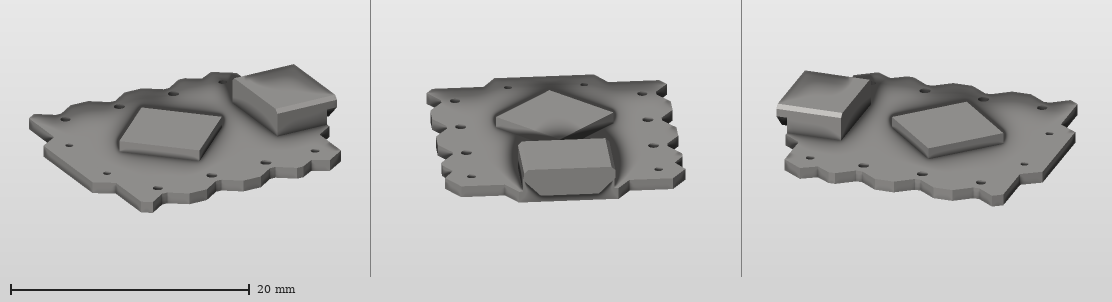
import cadquery as cq

board_half_width = 20.2 / 2
board_length = 22.75
board_thickness = 1.0
front_shoulder_y = 1.63
rear_shoulder_y = 21.23
shoulder_half_width = 5.24
tab_half_width = 4.2
front_corner_x = 9.55
rear_corner_x = 8.88
rear_side_y = 19.45

notch_pitch = 5.19
notch_ys = [4.2 + row * notch_pitch for row in range(3)]
notch_depth = 1.07
notch_mouth = 3.5
notch_floor = 0.52

vee_front_y = 16.91
vee_tip_y = 18.12
vee_depth = 0.78

side_hole_x = 7.87
front_hole_x = 3.2
front_hole_y = 1.95
rear_hole_y = 19.3
front_hole_diameter = 0.66
rear_hole_diameter = 0.73
notch_hole_diameters = [0.85, 0.92, 0.92]

chip_half_diagonal = 4.93
chip_y = 9.85
chip_height = 1.0

connector_half_width = 3.84
connector_front_y = 17.95
connector_rear_y = 23.7
connector_height = 2.42
connector_chamfer = 0.33
undercut_size = 1.4


def mirrored_outline(right_side):
    """Close a right-hand chain of points with its mirror image across X = 0."""
    left_side = [(-x, y) for x, y in reversed(right_side)]
    return right_side + left_side


def make_board():
    right_side = [
        (tab_half_width, 0),
        (shoulder_half_width, front_shoulder_y),
        (front_corner_x, front_shoulder_y),
    ]
    floor_x = board_half_width - notch_depth
    for y in notch_ys:
        right_side += [
            (board_half_width, y - notch_mouth / 2),
            (floor_x, y - notch_floor / 2),
            (floor_x, y + notch_floor / 2),
            (board_half_width, y + notch_mouth / 2),
        ]
    right_side += [
        (board_half_width, vee_front_y),
        (board_half_width - vee_depth, vee_tip_y),
        (board_half_width, rear_side_y),
        (rear_corner_x, rear_shoulder_y),
        (shoulder_half_width, rear_shoulder_y),
        (tab_half_width, board_length),
    ]
    outline = mirrored_outline(right_side)
    return cq.Workplane("XY").polyline(outline).close().extrude(board_thickness)


def make_hole_pair(x, y, diameter):
    centers = [(-x, y), (x, y)]
    return cq.Workplane("XY").pushPoints(centers).circle(diameter / 2).extrude(board_thickness)


def make_chip():
    corners = [
        (chip_half_diagonal, chip_y),
        (0, chip_y + chip_half_diagonal),
        (-chip_half_diagonal, chip_y),
        (0, chip_y - chip_half_diagonal),
    ]
    return cq.Workplane("XY", origin=(0, 0, board_thickness)).polyline(corners).close().extrude(chip_height)


def extrude_connector_profile(lower_right_side, rear_y, length):
    """Extrude a chamfer-topped XZ profile forward from rear_y, starting at the board's top face."""
    right_side = lower_right_side + [
        (connector_half_width, connector_height - connector_chamfer),
        (connector_half_width - connector_chamfer, connector_height),
    ]
    plane = cq.Workplane("XZ", origin=(0, rear_y, board_thickness))
    return plane.polyline(mirrored_outline(right_side)).close().extrude(length)


def make_connector():
    body = extrude_connector_profile(
        [(connector_half_width, 0)], board_length, board_length - connector_front_y
    )
    overhang = extrude_connector_profile(
        [(connector_half_width - undercut_size, 0), (connector_half_width, undercut_size)],
        connector_rear_y,
        connector_rear_y - board_length,
    )
    return body.union(overhang)


board = make_board()
board = board.cut(make_hole_pair(front_hole_x, front_hole_y, front_hole_diameter))
board = board.cut(make_hole_pair(side_hole_x, rear_hole_y, rear_hole_diameter))
for hole_y, hole_diameter in zip(notch_ys, notch_hole_diameters):
    board = board.cut(make_hole_pair(side_hole_x, hole_y, hole_diameter))

result = board.union(make_chip()).union(make_connector())